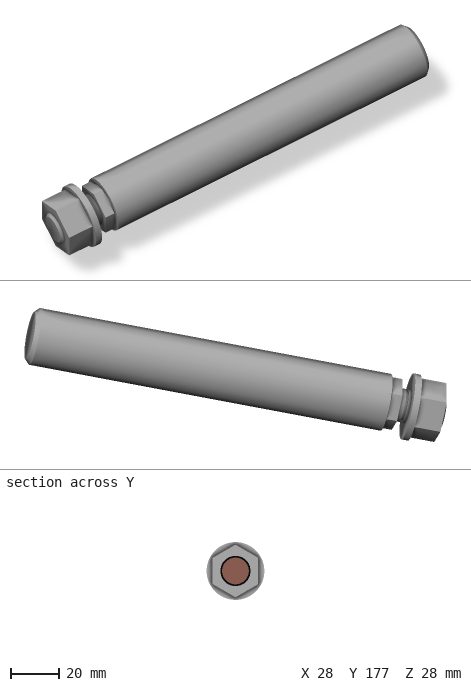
import cadquery as cq

total_length = 177.0
stud_diameter = 14.0
thread_root_diameter = 12.0
stud_protrusion = 1.2
head_length = 11.3
head_across_flats = 22.0
washer_diameter = 28.0
washer_thickness = 2.8
stud_gap = 4.5
groove_offset = 1.0
groove_width = 1.0
nut_length = 4.2
nut_across_flats = 19.0
collar_length = 0.5
collar_diameter = nut_across_flats
body_diameter = 24.0
body_chamfer = 2.0

head_start = stud_protrusion
washer_start = head_start + head_length
washer_end = washer_start + washer_thickness
groove_start = washer_end + groove_offset
nut_start = washer_end + stud_gap
collar_start = nut_start + nut_length
body_start = collar_start + collar_length
stud_chamfer = (stud_diameter - thread_root_diameter) / 2


def section_plane(start):
    """Plane across the axis, with its normal along +Y."""
    return cq.Workplane(cq.Plane((0, start, 0), xDir=(1, 0, 0), normal=(0, 1, 0)))


def disk(start, length, diameter):
    return section_plane(start).circle(diameter / 2).extrude(length)


def hexagon(start, length, across_flats):
    """Hexagonal prism with corners at +Z and -Z."""
    return section_plane(start).polygon(6, across_flats, circumscribed=True).extrude(length)


def make_stud():
    stud = disk(0, body_start, stud_diameter).faces("<Y").chamfer(stud_chamfer)
    groove = disk(groove_start, groove_width, stud_diameter).cut(
        disk(groove_start, groove_width, thread_root_diameter)
    )
    return stud.cut(groove)


def make_body():
    return disk(body_start, total_length - body_start, body_diameter).faces(">Y").chamfer(body_chamfer)


result = (
    make_stud()
    .union(hexagon(head_start, head_length, head_across_flats))
    .union(disk(washer_start, washer_thickness, washer_diameter))
    .union(hexagon(nut_start, nut_length, nut_across_flats))
    .union(disk(collar_start, collar_length, collar_diameter))
    .union(make_body())
)